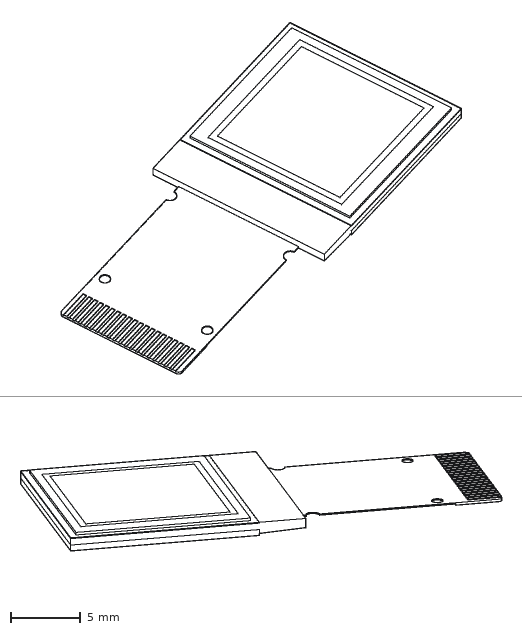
import cadquery as cq

total_length = 32.65
display_width = 15.0
glass_length = 14.0
carrier_length = 17.47

back_glass_top = 0.45
carrier_top = 0.95
cover_base_top = 1.0
cover_top = 1.2

bar_rear_bottom = 0.15
bar_front_bottom = 0.3

raised_width = 13.98
raised_length = 12.95
border_size = 11.7
active_size = 10.7

tail_width = 10.52
tail_bottom = 0.35
tail_top = 0.45
tail_corner_radius = 0.33
stiffener_length = 3.5
stiffener_bottom = 0.25
notch_radius = 0.5
notch_from_bar = 1.08
hole_diameter = 0.82
hole_spacing = 8.95
hole_from_end = 4.67
finger_count = 20
finger_row_width = 9.8
finger_width = 0.3
finger_length = 2.5
finger_top = 0.52

rear_y = total_length / 2
tail_end_y = -total_length / 2
glass_front_y = rear_y - glass_length
bar_front_y = rear_y - carrier_length
glass_center_y = (rear_y + glass_front_y) / 2


def block(width, y_min, y_max, z_min, z_max, x_center=0):
    """Rectangular block centred on x_center, between the given Y and Z limits."""
    return (
        cq.Workplane("XY")
        .box(width, y_max - y_min, z_max - z_min, centered=(True, False, False))
        .translate((x_center, y_min, z_min))
    )


def centered_plate(width, length, z_min, z_max):
    """Rectangular plate centred on the glass area."""
    half_length = length / 2
    return block(width, glass_center_y - half_length, glass_center_y + half_length, z_min, z_max)


def make_back_glass():
    return block(display_width, glass_front_y, rear_y, 0, back_glass_top)


def make_carrier():
    """Plate above the back glass, in one piece with the front bar, as one side profile."""
    side_profile = [
        (rear_y, back_glass_top),
        (rear_y, carrier_top),
        (glass_front_y, carrier_top),
        (glass_front_y, cover_base_top),
        (bar_front_y, cover_base_top),
        (bar_front_y, bar_front_bottom),
        (glass_front_y, bar_rear_bottom),
        (glass_front_y, back_glass_top),
    ]
    return cq.Workplane("YZ").polyline(side_profile).close().extrude(display_width / 2, both=True)


def make_cover():
    """Thin base sheet with a raised area that holds the border frame and active panel."""
    base = block(display_width, glass_front_y, rear_y, carrier_top, cover_base_top)
    raised = centered_plate(raised_width, raised_length, cover_base_top, cover_top)
    panel_pocket = centered_plate(border_size, border_size, cover_base_top, cover_top)
    return base.union(raised).cut(panel_pocket)


def make_active_panel():
    return centered_plate(active_size, active_size, cover_base_top, cover_top)


def make_border_frame():
    """Square frame that fills the cover pocket around the active panel."""
    frame = centered_plate(border_size, border_size, cover_base_top, cover_top)
    return frame.cut(make_active_panel())


def make_tail():
    """Flexible tail with side notches, locating holes, end stiffener and contact fingers."""
    strip = block(tail_width, tail_end_y, bar_front_y, tail_bottom, tail_top)
    stiffener = block(tail_width, tail_end_y, tail_end_y + stiffener_length, stiffener_bottom, tail_top)
    tail = strip.union(stiffener).edges("|Z and <Y").fillet(tail_corner_radius)

    notches = (
        cq.Workplane("XY")
        .pushPoints([(side * tail_width / 2, bar_front_y - notch_from_bar) for side in (-1, 1)])
        .circle(notch_radius)
        .extrude(tail_top)
    )
    holes = (
        cq.Workplane("XY")
        .pushPoints([(side * hole_spacing / 2, tail_end_y + hole_from_end) for side in (-1, 1)])
        .circle(hole_diameter / 2)
        .extrude(tail_top)
    )
    tail = tail.cut(notches).cut(holes)

    finger_pitch = (finger_row_width - finger_width) / (finger_count - 1)
    first_finger_x = -(finger_row_width - finger_width) / 2
    finger_end_y = tail_end_y + finger_length
    for index in range(finger_count):
        finger_x = first_finger_x + index * finger_pitch
        tail = tail.union(block(finger_width, tail_end_y, finger_end_y, tail_top, finger_top, finger_x))
    return tail


back_glass = make_back_glass()
carrier = make_carrier()
cover = make_cover()
border_frame = make_border_frame()
active_panel = make_active_panel()
tail = make_tail()

result = cq.Compound.makeCompound([
    back_glass.val(),
    carrier.val(),
    cover.val(),
    border_frame.val(),
    active_panel.val(),
    tail.val(),
])